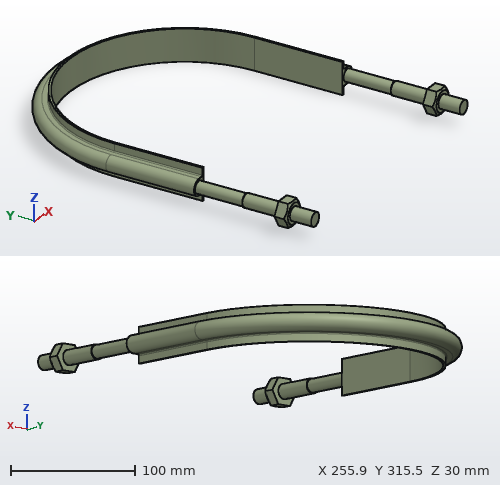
import cadquery as cq
import math

overall_length = 315.5
leg_spacing = 230.5
bend_radius = leg_spacing / 2

rod_diameter = 11.5
thread_diameter = 12.5
thread_length = 65.0

cover_radius = 7.5
band_height = 30.0
band_thickness = 2.05
sleeve_end_height = 109.5
root_fillet = 1.0

nut_flats = 22.0
nut_height = 10.7
nut_tip_distance = 20.0
nut_chamfer_angle = 30.0
nut_face_diameter = 19.0

rod_tip_y = bend_radius + cover_radius - overall_length
thread_start_y = rod_tip_y + thread_length
sleeve_end_y = rod_tip_y + sleeve_end_height
nut_face_y = rod_tip_y + nut_tip_distance


def section_plane(x, y):
    """Plane across a leg: local x is +X, local y is +Z, normal toward -Y."""
    return cq.Workplane("XZ", origin=(x, y, 0))


def sweep_along_u(section, end_y):
    """Carry a section at the left leg's end up that leg, around the bend and down the right leg."""
    left_leg = section(end_y).extrude(end_y)
    bend_axis_start = (bend_radius, 0)
    bend_axis_end = (bend_radius, -1)
    bend = section(0).revolve(180, bend_axis_start, bend_axis_end)
    right_leg = left_leg.mirror("YZ")
    return bend.union(left_leg).union(right_leg).clean()


def rod_section(y):
    """Round section of the plain rod."""
    return section_plane(-bend_radius, y).circle(rod_diameter / 2)


def make_u_bolt():
    """Bent round rod with a thicker threaded length at each end."""
    bolt = sweep_along_u(rod_section, thread_start_y)
    for x in (-bend_radius, bend_radius):
        thread = section_plane(x, thread_start_y).circle(thread_diameter / 2).extrude(thread_length)
        bolt = bolt.union(thread)
    return bolt


def sleeve_section(y):
    """Section of the left leg: half-round cover with straight flanks, filleted into the flat band."""
    band_inner = cover_radius
    band_outer = band_inner - band_thickness
    half_band = band_height / 2
    flare = cover_radius + root_fillet
    flank_end = band_outer - root_fillet
    mid = root_fillet * math.sqrt(0.5)
    return (
        section_plane(-bend_radius, y)
        .moveTo(band_inner, -half_band)
        .lineTo(band_inner, half_band)
        .lineTo(band_outer, half_band)
        .lineTo(band_outer, flare)
        .threePointArc((flank_end + mid, flare - mid), (flank_end, cover_radius))
        .lineTo(0, cover_radius)
        .threePointArc((-cover_radius, 0), (0, -cover_radius))
        .lineTo(flank_end, -cover_radius)
        .threePointArc((flank_end + mid, mid - flare), (band_outer, -flare))
        .lineTo(band_outer, -half_band)
        .close()
    )


def make_sleeve():
    """Sleeve along the bend and upper legs, bored for the rod."""
    bore = sweep_along_u(rod_section, sleeve_end_y)
    return sweep_along_u(sleeve_section, sleeve_end_y).cut(bore)


def make_nut(x):
    """Hexagonal nut on one leg, chamfered on the face toward the rod tip."""
    corner_diameter = nut_flats / math.cos(math.radians(30))
    back_y = nut_face_y + nut_height
    corner_drop = (corner_diameter - nut_face_diameter) / 2 * math.tan(math.radians(nut_chamfer_angle))
    blank = section_plane(x, back_y).polygon(6, corner_diameter).extrude(nut_height)
    chamfer_envelope = (
        cq.Workplane("XY", origin=(x, 0, 0))
        .moveTo(0, back_y)
        .lineTo(corner_diameter / 2, back_y)
        .lineTo(corner_diameter / 2, nut_face_y + corner_drop)
        .lineTo(nut_face_diameter / 2, nut_face_y)
        .lineTo(0, nut_face_y)
        .close()
        .revolve(360, (0, 0), (0, 1))
    )
    hole = section_plane(x, back_y).circle(thread_diameter / 2).extrude(nut_height)
    return blank.intersect(chamfer_envelope).cut(hole)


u_bolt = make_u_bolt()
sleeve = make_sleeve()
nuts = [make_nut(x).solids().val() for x in (-bend_radius, bend_radius)]

result = cq.Compound.makeCompound([u_bolt.solids().val(), sleeve.solids().val(), *nuts])